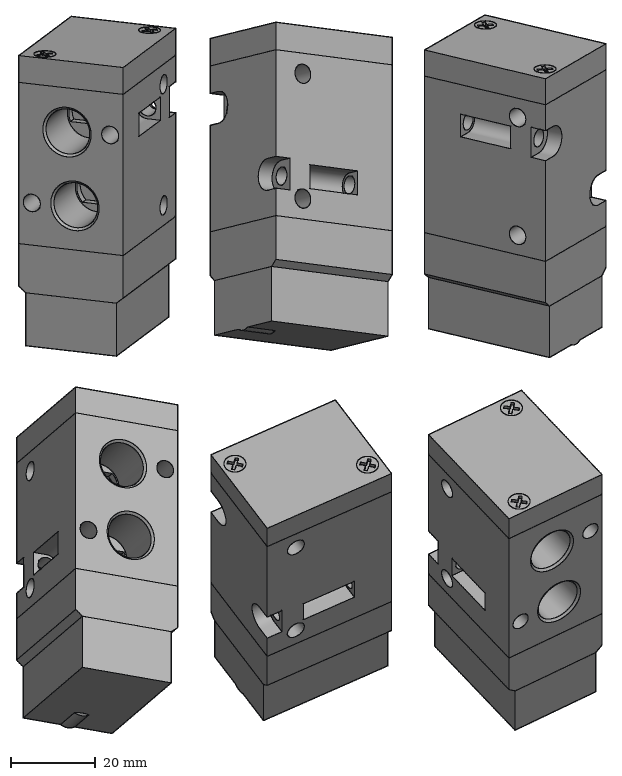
import cadquery as cq

WIDTH = 26.5
DEPTH = 34.0
HEIGHT = 72.0
BACK = DEPTH / 2
FRONT = -DEPTH / 2

PILOT_BOTTOM_Z = 0.5
STEP_Z = 13.6
VALVE_BOTTOM_Z = 25.55
VALVE_TOP_Z = 65.4
VALVE_MIDDLE_Z = (VALVE_BOTTOM_Z + VALVE_TOP_Z) / 2

PILOT_WIDTH = 23.05
CHAMFER_HEIGHT = 1.45
CHAMFER_WIDTH = (WIDTH - PILOT_WIDTH) / 2

BOSS_RADIUS = 3.6
BOSS_LENGTH = 8.8
BOSS_CHAMFER = 0.7

PORT_OFFSET_X = 1.0
PORT_OFFSET_Z = 9.0
PORT_RADIUS = 5.55
PORT_CHAMFER = 0.6
PORT_DEPTH = 14.4
PASSAGE_RADIUS = 5.2
PASSAGE_HEIGHT = 5.7
PASSAGE_SHIFT_Z = 0.8
PASSAGE_DEPTH = 2.15

BOLT_OFFSET_X = 9.9
BOLT_OFFSET_Z = 9.5
BOLT_RADIUS = 2.15
HEAD_POCKET_RADIUS = 3.8
HEAD_POCKET_DEPTH = 4.0
NUT_POCKET_RADIUS = 2.9
NUT_POCKET_START = 9.9
NUT_POCKET_LENGTH = 14.0

CROSS_HOLE_RADIUS = 2.3
CROSS_HOLE_FROM_BACK = 7.85
CROSS_HOLE_OFFSET_Z = 15.0

SCREW_OFFSET_X = 8.0
SCREW_OFFSET_Y = 13.5
SCREW_RADIUS = 2.6
SCREW_RECESS = 0.1
CROSS_LENGTH = 3.7
CROSS_WIDTH = 0.8
CROSS_DEPTH = 0.9


def block(width, bottom, top):
    """Full-depth block, centred in X and Y, between two levels."""
    return cq.Workplane("XY").workplane(offset=bottom).rect(width, DEPTH).extrude(top - bottom)


def rod_along_y(x, z, radius, start, end):
    """Cylinder parallel to Y between two Y positions."""
    return cq.Workplane("XZ", origin=(x, start, z)).circle(radius).extrude(start - end)


def side_pocket(radius, start, end):
    """U-shaped pocket around the left bolt hole, open to the left side."""
    bolt_z = VALVE_MIDDLE_Z - BOLT_OFFSET_Z
    mouth_length = WIDTH / 2 - BOLT_OFFSET_X
    mouth = cq.Workplane("XY").box(mouth_length, end - start, 2 * radius, centered=(False, False, True))
    mouth = mouth.translate((-WIDTH / 2, start, bolt_z))
    return rod_along_y(-BOLT_OFFSET_X, bolt_z, radius, start, end).union(mouth)


def port():
    """Lower port: chamfered bore with a flat-sided passage at its floor."""
    port_z = VALVE_MIDDLE_Z - PORT_OFFSET_Z
    floor = FRONT + PORT_DEPTH
    passage_end = floor + PASSAGE_DEPTH
    bore = rod_along_y(PORT_OFFSET_X, port_z, PORT_RADIUS, FRONT, floor)
    lead_in = (
        cq.Workplane("XZ", origin=(PORT_OFFSET_X, FRONT, port_z))
        .circle(PORT_RADIUS + PORT_CHAMFER)
        .workplane(offset=-PORT_CHAMFER)
        .circle(PORT_RADIUS)
        .loft()
    )
    passage_band = (
        cq.Workplane("XZ", origin=(PORT_OFFSET_X, floor, port_z - PASSAGE_SHIFT_Z))
        .rect(2 * PORT_RADIUS, PASSAGE_HEIGHT)
        .extrude(-PASSAGE_DEPTH)
    )
    passage = rod_along_y(PORT_OFFSET_X, port_z, PASSAGE_RADIUS, floor, passage_end).intersect(passage_band)
    return bore.union(lead_in).union(passage)


def make_valve_body():
    body = block(WIDTH, VALVE_BOTTOM_Z, VALVE_TOP_Z)

    bolt_hole = rod_along_y(-BOLT_OFFSET_X, VALVE_MIDDLE_Z - BOLT_OFFSET_Z, BOLT_RADIUS, FRONT, BACK)
    nut_pocket_end = BACK - NUT_POCKET_START
    cutters = [
        port(),
        bolt_hole,
        side_pocket(HEAD_POCKET_RADIUS, BACK - HEAD_POCKET_DEPTH, BACK),
        side_pocket(NUT_POCKET_RADIUS, nut_pocket_end - NUT_POCKET_LENGTH, nut_pocket_end),
    ]
    axis_start = (0, FRONT, VALVE_MIDDLE_Z)
    axis_end = (0, BACK, VALVE_MIDDLE_Z)
    for cutter in cutters:
        for turn in (0, 180):
            body = body.cut(cutter.rotate(axis_start, axis_end, turn))

    for side in (-1, 1):
        hole_z = VALVE_MIDDLE_Z + side * CROSS_HOLE_OFFSET_Z
        hole = (
            cq.Workplane("YZ", origin=(-WIDTH / 2, BACK - CROSS_HOLE_FROM_BACK, hole_z))
            .circle(CROSS_HOLE_RADIUS)
            .extrude(WIDTH)
        )
        body = body.cut(hole)
    return body


def make_cap():
    cap = block(WIDTH, VALVE_TOP_Z, HEIGHT)
    recess_floor = HEIGHT - SCREW_RECESS
    for side in (-1, 1):
        centre = (side * SCREW_OFFSET_X, side * SCREW_OFFSET_Y, recess_floor)
        cap = cap.cut(cq.Workplane("XY", origin=centre).circle(SCREW_RADIUS).extrude(SCREW_RECESS))
        for angle in (45, 135):
            arm = (
                cq.Workplane("XY", origin=centre)
                .transformed(rotate=(0, 0, angle))
                .rect(CROSS_LENGTH, CROSS_WIDTH)
                .extrude(-CROSS_DEPTH)
            )
            cap = cap.cut(arm)
    return cap


def make_adapter():
    half_width = WIDTH / 2
    outline = [
        (-half_width, VALVE_BOTTOM_Z),
        (half_width, VALVE_BOTTOM_Z),
        (half_width, STEP_Z + CHAMFER_HEIGHT),
        (half_width - CHAMFER_WIDTH, STEP_Z),
        (CHAMFER_WIDTH - half_width, STEP_Z),
        (-half_width, STEP_Z + CHAMFER_HEIGHT),
    ]
    return cq.Workplane("XZ", origin=(0, BACK, 0)).polyline(outline).close().extrude(DEPTH)


def make_pilot_block():
    pilot = block(PILOT_WIDTH, PILOT_BOTTOM_Z, STEP_Z)
    boss_end = BACK - BOSS_LENGTH
    half_section = [
        (BACK, BOSS_RADIUS),
        (BACK, 0),
        (boss_end + BOSS_CHAMFER, 0),
        (boss_end, BOSS_CHAMFER),
        (boss_end, BOSS_RADIUS),
    ]
    boss = (
        cq.Workplane("YZ")
        .polyline(half_section)
        .close()
        .revolve(360, (BACK, BOSS_RADIUS), (boss_end, BOSS_RADIUS))
    )
    return pilot.union(boss)


cap = make_cap()
valve_body = make_valve_body()
adapter = make_adapter()
pilot_block = make_pilot_block()

result = cq.Compound.makeCompound([cap.val(), valve_body.val(), adapter.val(), pilot_block.val()])